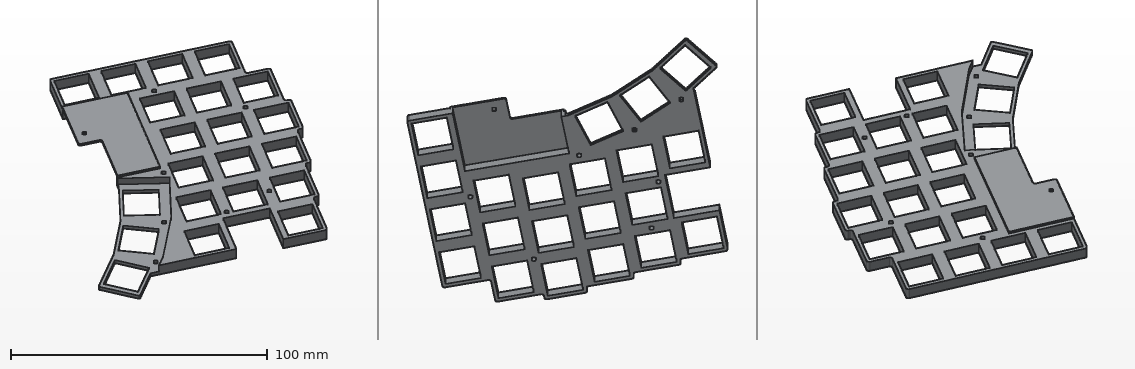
import cadquery as cq
import math

part_length = 123
part_width = 101.1

plate_height = 5.0
cover_thickness = 1.0
thumb_height = 1.7

key_pitch = 19.1
window = 14.0
edge_margin = 1.5
corner_radius = 1.0
key_reach = window / 2 + edge_margin
half_pitch = key_pitch / 2

top_key_y = part_width - key_reach
column_drop = [12.5, 2.6, 0, 2.6, 5.2, 7.6]
column_x = [key_reach + i * key_pitch for i in range(len(column_drop))]
column_y = [top_key_y - drop for drop in column_drop]
column_rows = [(0, 1, 2, 3), (0, 1, 2), (0, 1, 2), (0, 1, 2), (0, 1, 2), (0, 2)]
column_left = [x - key_reach for x in column_x]
column_right = [x + key_reach for x in column_x]
column_top = [y + key_reach for y in column_y]
plate_right = column_right[-1]
plate_bottom = column_y[0] - column_rows[0][-1] * key_pitch - key_reach

cover_left = 17.1
cover_right = 60.4
cover_back = 41.1
cover_step_x = 39.2
cover_step_y = 23.7
cover_lap = 1.0

thumb_start = (63.2, 32.2)
thumb_angles = [-15, -25, -35]
thumb_half_pitch = 10.5
thumb_back_reach = 11.3
thumb_corner_radius = 0.6

plate_screw_diameter = 1.7
cover_screw_diameter = 1.6
cover_screw_point = (33.8, 18.3)
plate_screw_points = [
    (37.3, 82.9), (84.9, 78.1), (91.3, 58.8), (18.1, 51.5),
    (63.1, 41.7), (86.4, 34.8), (106.8, 25.2),
]


def offset(point, angle, along, across):
    """Move a point by distances along and across a direction given in degrees."""
    cosine = math.cos(math.radians(angle))
    sine = math.sin(math.radians(angle))
    return (point[0] + along * cosine - across * sine, point[1] + along * sine + across * cosine)


def prism(points, height):
    """Solid with the given outline, standing on the XY plane."""
    return cq.Workplane("XY").polyline(points).close().extrude(height)


def rounded(body, points, radius):
    """Round the vertical edges that stand at the given points."""
    reach = 0.1
    for x, y in points:
        below = (x - reach, y - reach, 0)
        above = (x + reach, y + reach, plate_height)
        corner = cq.selectors.BoxSelector(below, above)
        body = body.edges("|Z").edges(corner).fillet(radius)
    return body


def thumb_chain():
    """Key centres of the fan and the joints between its keys."""
    centres = []
    joints = [thumb_start]
    for angle in thumb_angles:
        centres.append(offset(joints[-1], angle, thumb_half_pitch, 0))
        joints.append(offset(centres[-1], angle, thumb_half_pitch, 0))
    return centres, joints


thumb_centres, thumb_joints = thumb_chain()


def thumb_rail(across):
    """Corner points of a line that runs along the fan at a set distance from its centre line."""
    points = [offset(thumb_start, thumb_angles[0], 0, across)]
    for joint, before, after in zip(thumb_joints[1:], thumb_angles, thumb_angles[1:]):
        miter = across / math.cos(math.radians(after - before) / 2)
        points.append(offset(joint, (before + after) / 2, 0, miter))
    points.append(offset(thumb_joints[-1], thumb_angles[-1], 0, across))
    return points


def thumb_band(height):
    """Fan between its front and back rails, squared off to the cover step at its left end."""
    front = thumb_rail(-key_reach)
    back = thumb_rail(thumb_back_reach)
    slope = math.tan(math.radians(thumb_angles[0]))
    drop = cover_step_y - front[0][1]
    left_corner = (thumb_start[0] - (cover_step_y - thumb_start[1]) * slope, cover_step_y)
    rail_corner = (front[0][0] + drop / slope, cover_step_y)
    return prism([left_corner, rail_corner] + front[1:] + back[::-1], height)


def key_plate():
    """Stepped plate of the finger keys, with the open bay for the controller."""
    bay_left = cover_left + cover_lap
    bay_right = cover_right - cover_lap
    bay_back = cover_back - cover_lap
    gap_left = column_x[5] - half_pitch
    gap_y = column_y[5] - key_pitch

    rounded_points = [(0, plate_bottom), (0, column_top[0])]
    for i in (1, 2):
        rounded_points += [(column_left[i], column_top[i - 1]), (column_left[i], column_top[i])]
    for i in (2, 3, 4):
        rounded_points += [(column_right[i], column_top[i]), (column_right[i], column_top[i + 1])]
    rounded_points.append((plate_right, column_top[5]))
    sharp_points = [
        (plate_right, gap_y + half_pitch), (gap_left, gap_y + half_pitch),
        (gap_left, gap_y - half_pitch), (plate_right, gap_y - half_pitch),
        (plate_right, cover_step_y), (bay_right, cover_step_y),
        (bay_right, bay_back), (bay_left, bay_back), (bay_left, plate_bottom),
    ]
    body = prism(rounded_points + sharp_points, plate_height)
    return rounded(body, rounded_points, corner_radius)


def cover():
    """Thin L-shaped cover on top of the plate."""
    outline = [
        (cover_left, plate_bottom), (cover_step_x, plate_bottom), (cover_step_x, cover_step_y),
        (cover_right, cover_step_y), (cover_right, cover_back), (cover_left, cover_back),
    ]
    body = rounded(prism(outline, cover_thickness), outline[1:3], corner_radius)
    return body.translate((0, 0, plate_height))


def thumb_plate():
    """Low fan of thumb keys; past the right edge of the key plate only the last key's frame goes on."""
    last = thumb_centres[-1]
    turn = thumb_angles[-1]
    cosine = math.cos(math.radians(turn))
    sine = math.sin(math.radians(turn))
    round_centre_x = part_length - thumb_corner_radius
    round_across = key_reach - thumb_corner_radius
    end_reach = (round_centre_x - last[0] + round_across * sine) / cosine + thumb_corner_radius
    frame_corners = [
        offset(last, turn, along, across)
        for along, across in [
            (-key_reach, -key_reach), (end_reach, -key_reach),
            (end_reach, key_reach), (-key_reach, key_reach),
        ]
    ]
    frame = rounded(prism(frame_corners, thumb_height), frame_corners[1:3], thumb_corner_radius)
    beside_plate = [(0, 0), (plate_right, 0), (plate_right, part_width), (0, part_width)]
    return thumb_band(thumb_height).intersect(prism(beside_plate, thumb_height)).union(frame)


def windows():
    """Square key openings of the finger columns and the fan."""
    places = []
    for x, y, rows in zip(column_x, column_y, column_rows):
        places += [((x, y - row * key_pitch), 0) for row in rows]
    places += list(zip(thumb_centres, thumb_angles))
    tools = cq.Workplane("XY")
    for (x, y), angle in places:
        tool = cq.Workplane("XY").rect(window, window).extrude(plate_height)
        tools.add(tool.rotate((0, 0, 0), (0, 0, 1), angle).translate((x, y, 0)))
    return tools.combine()


def screw_holes(points, diameter):
    """Cylinders that pass through the full height of the part."""
    through = plate_height + cover_thickness
    return cq.Workplane("XY").pushPoints(points).circle(diameter / 2).extrude(through)


result = key_plate().cut(thumb_band(plate_height)).union(thumb_plate()).union(cover())
result = result.cut(windows())
result = result.cut(screw_holes(plate_screw_points, plate_screw_diameter))
result = result.cut(screw_holes([cover_screw_point], cover_screw_diameter))